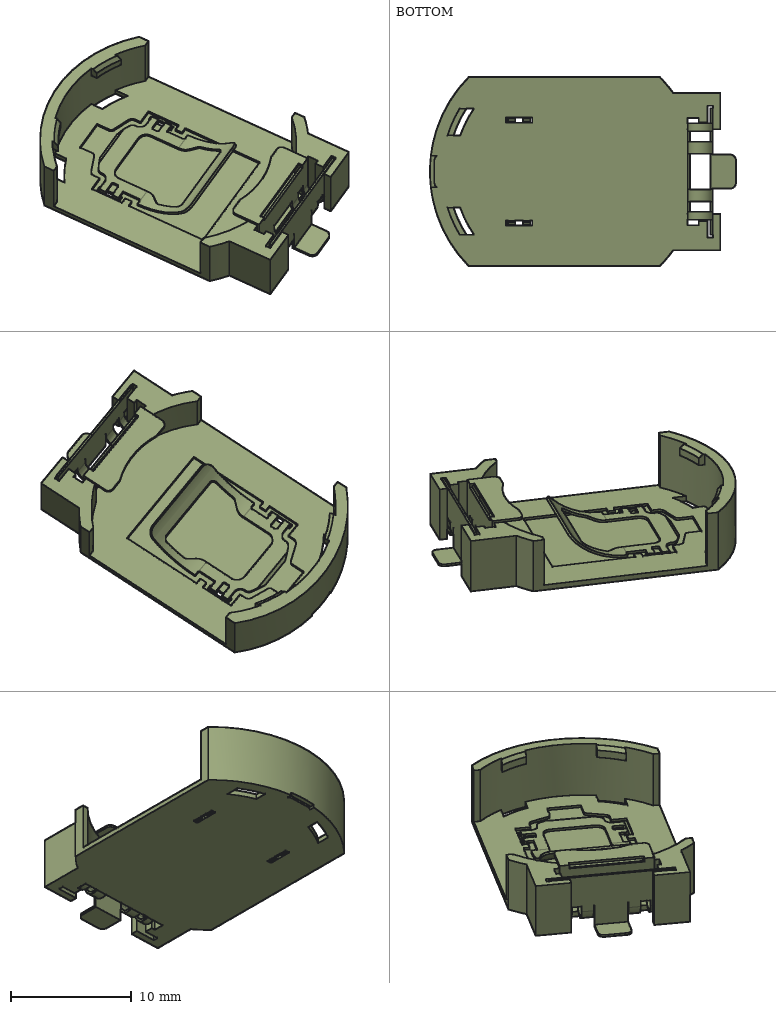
import cadquery as cq
import math


SHEET = 0.2
TOTAL_LENGTH = 25.4

HALF_WIDTH = 7.85
CELL_X = 11.15
OUTER_RADIUS = CELL_X
INNER_RADIUS = 10.13
FLOOR_TOP = 0.48
RIM_TOP = 5.3
BLOCK_TOP = 4.67
WALL_TIP_Y = 7.32
BLOCK_HALF_WIDTH = 6.53
BLOCK_END_X = 24.1

MOUTH_HALF_WIDTH = 3.5
LEG_BAY_X = 21.39
LEG_BAY_LENGTH = 0.91
LEG_BAY_HALF_WIDTH = 4.45
LOOP_BAY_HALF_WIDTH = 4.1
PLATE_SLOT_START_X = 23.05
PLATE_SLOT_END_X = 23.47
PLATE_SLOT_HALF_WIDTH = 5.45

HOOK_Y = (3.0, 5.23)
HOOK_TOP_RADIUS = 9.98
HOOK_LIP_RADIUS = 9.65
HOOK_LIP_TOP = 4.98
HOOK_BOTTOM = 4.32
WINDOW_RADIUS = 9.15

TERMINAL_HALF_WIDTH = 1.42
TERMINAL_CORNER = 0.5
SPRING_TERMINAL_X = 0.38
TERMINAL_GROOVE_HALF_WIDTH = 1.3
TERMINAL_GROOVE_TOP = 0.25

RECESS_FLOOR = FLOOR_TOP - SHEET
RECESS_HALF_WIDTH = 4.7
RECESS_END_X = 16.6
SHOULDER_Y = 3.4
SHOULDER_X = 5.95
TAPER_X = (4.32, 5.08)
KEY_X = (8.85, 9.47)
KEY_Y = 4.17
LEG_HOLE_X = (6.32, 8.48)
LEG_HOLE_Y = (4.06, 4.47)

SPRING_FOOT_X = 4.83
SPRING_FRONT_X = 5.1
SPRING_FRONT_Y = 2.05
SPRING_NECK_X = 5.49
SPRING_NECK_Y = 2.85
SPRING_LEGS_X = (6.48, 8.33)
SPRING_LEG_END_Y = 4.4
LEG_GAP_X = (7.09, 7.72)
LEG_GAP_Y = 3.25
SPRING_SIDE_Y = 3.63
BEND_X = 10.0
CURL_HALF_WIDTH = 4.17
CURL_RADIUS = 6.3
CURL_ANGLE = 51.5
CURL_CORNER = 0.81
CUTOUT_X = (6.63, 13.75)
CUTOUT_FLARE_X = (10.55, 11.53)
CUTOUT_Y = (2.62, 3.48)

CLIP_LEG_X = LEG_BAY_X
PLATE_X = PLATE_SLOT_END_X - SHEET
PLATE_HALF_WIDTH = 5.25
PLATE_TOP = 4.8
STRAP_TOP = 2.0
LOOP_BOTTOM = 0.5
STRAPS_Y = ((1.47, 2.5), (3.33, 4.01))
FLAP_X = 18.9
FLAP_HALF_WIDTH = STRAPS_Y[1][1]
FLAP_TOP = 5.0
FLAP_CORNER = 0.45
FLAP_SCOOP_X = 19.4
FLAP_SCOOP_HALF_WIDTH = 2.6
RELIEF_X = 21.2
RELIEF_HALF_WIDTH = 3.18


def box(x, y, z):
    """Box spanning the (low, high) pairs x, y and z."""
    return (cq.Workplane("XY")
            .box(x[1] - x[0], y[1] - y[0], z[1] - z[0], centered=False)
            .translate((x[0], y[0], z[0])))


def prism(points, z):
    """Polygon in XY extruded between the two heights z."""
    return cq.Workplane("XY").workplane(offset=z[0]).polyline(points).close().extrude(z[1] - z[0])


def round_upright(body, corner, radius):
    """Round the upright edge of body nearest to the plan position corner."""
    height = body.val().Center().z
    return body.edges("|Z").edges(cq.selectors.NearestToPointSelector((*corner, height))).fillet(radius)


def cell_disc(radius, z):
    """Disc about the cell axis between the two heights z."""
    return cq.Workplane("XY").workplane(offset=z[0]).center(CELL_X, 0).circle(radius).extrude(z[1] - z[0])


def half_chord(radius, y):
    """Distance along X from the cell axis to a circle at the given Y."""
    return math.sqrt(radius ** 2 - y ** 2)


def mirrored(half):
    """Join a +Y half with its mirror image."""
    return half.union(half.mirror("XZ")).clean()


def terminal(tip_x, root_x):
    """Half of a flat solder terminal with a rounded corner at its tip."""
    low, high = min(tip_x, root_x), max(tip_x, root_x)
    tab = box((low, high), (0, TERMINAL_HALF_WIDTH), (0, SHEET))
    return round_upright(tab, (tip_x, TERMINAL_HALF_WIDTH), TERMINAL_CORNER)


def terminal_groove():
    """Groove under the round wall that bares the rounded tip of the spring terminal."""
    groove_x = (0, SPRING_TERMINAL_X + TERMINAL_CORNER)
    groove = box(groove_x, (0, TERMINAL_GROOVE_HALF_WIDTH), (0, TERMINAL_GROOVE_TOP))
    return groove.cut(terminal(SPRING_TERMINAL_X, TONGUE_X))


TONGUE_X = 2.92


def housing_shell():
    """Floor, round wall on the left and clip block on the right."""
    rim = (0, RIM_TOP)
    strip = box((0, TOTAL_LENGTH), (0, HALF_WIDTH), rim)
    block = box((CELL_X, BLOCK_END_X), (0, BLOCK_HALF_WIDTH), rim)
    shell = cell_disc(OUTER_RADIUS, rim).intersect(strip).union(block)

    above_floor = (FLOOR_TOP, RIM_TOP)
    tip_reach = half_chord(INNER_RADIUS, WALL_TIP_Y)
    cell_space = cell_disc(INNER_RADIUS, above_floor)
    side_opening = box((CELL_X - tip_reach, CELL_X + tip_reach), (0, HALF_WIDTH), above_floor)
    above_block = box((CELL_X, TOTAL_LENGTH), (0, HALF_WIDTH), (BLOCK_TOP, RIM_TOP))
    return shell.cut(cell_space).cut(side_opening).cut(above_block)


def clip_opening():
    """Space in the block for the clip, open at the top and bottom."""
    full = (0, RIM_TOP)
    bay_end = LEG_BAY_X + LEG_BAY_LENGTH
    mouth = box((CELL_X, LEG_BAY_X), (0, MOUTH_HALF_WIDTH), (FLOOR_TOP, RIM_TOP))
    leg_bay = box((LEG_BAY_X, bay_end), (0, LEG_BAY_HALF_WIDTH), full)
    loop_bay = box((bay_end, PLATE_SLOT_START_X), (0, LOOP_BAY_HALF_WIDTH), full)
    slot = box((PLATE_SLOT_START_X, PLATE_SLOT_END_X), (0, PLATE_SLOT_HALF_WIDTH), full)
    back = box((PLATE_SLOT_END_X, BLOCK_END_X), (0, MOUTH_HALF_WIDTH), full)
    return mouth.union(leg_bay).union(loop_bay).union(slot).union(back)


def snap_hook():
    """Hook on the round wall with a sloping lead-in above its lip."""
    section = [
        (OUTER_RADIUS - 0.25, RIM_TOP),
        (HOOK_TOP_RADIUS, RIM_TOP),
        (HOOK_LIP_RADIUS, HOOK_LIP_TOP),
        (HOOK_LIP_RADIUS, HOOK_BOTTOM),
        (OUTER_RADIUS - 0.25, HOOK_BOTTOM),
    ]
    ring = cq.Workplane("XZ").polyline(section).close().revolve(360, (0, 0), (0, 1)).translate((CELL_X, 0, 0))
    return ring.intersect(box((0, CELL_X), HOOK_Y, (0, RIM_TOP)))


def floor_window():
    """Through window in the floor below a snap hook."""
    through = (0, FLOOR_TOP)
    ring = cell_disc(INNER_RADIUS, through).cut(cell_disc(WINDOW_RADIUS, through))
    return ring.intersect(box((0, CELL_X), HOOK_Y, through))


def spring_recess():
    """Recess in the floor around the spring, with through holes for the spring legs."""
    taper_low = (TAPER_X[0], TERMINAL_HALF_WIDTH)
    taper_high = (TAPER_X[1], SHOULDER_Y)
    outline = [
        (TONGUE_X, 0),
        (TONGUE_X, TERMINAL_HALF_WIDTH),
        taper_low,
        taper_high,
        (SHOULDER_X, SHOULDER_Y),
        (SHOULDER_X, RECESS_HALF_WIDTH),
        (RECESS_END_X, RECESS_HALF_WIDTH),
        (RECESS_END_X, 0),
    ]
    recess = prism(outline, (RECESS_FLOOR, FLOOR_TOP))
    recess = round_upright(recess, taper_low, 0.3)
    recess = round_upright(recess, taper_high, 0.48)
    key = box(KEY_X, (KEY_Y, RECESS_HALF_WIDTH), (RECESS_FLOOR, FLOOR_TOP))
    leg_hole = box(LEG_HOLE_X, LEG_HOLE_Y, (0, FLOOR_TOP))
    return recess.cut(key).union(leg_hole)


def spring_plan():
    """Plan shape of the spring as a tall prism."""
    neck = (SPRING_NECK_X, SPRING_NECK_Y)
    leg_root = (SPRING_LEGS_X[0], SPRING_NECK_Y)
    curl_root = (BEND_X, SPRING_SIDE_Y)
    outline = [
        (SPRING_FOOT_X, 0),
        (SPRING_FOOT_X, TERMINAL_HALF_WIDTH),
        (SPRING_FRONT_X, SPRING_FRONT_Y),
        neck,
        leg_root,
        (SPRING_LEGS_X[0], SPRING_LEG_END_Y),
        (SPRING_LEGS_X[1], SPRING_LEG_END_Y),
        (SPRING_LEGS_X[1], SPRING_SIDE_Y),
        curl_root,
        (BEND_X, CURL_HALF_WIDTH),
        (RECESS_END_X, CURL_HALF_WIDTH),
        (RECESS_END_X, 0),
    ]
    plan = prism(outline, (0, RIM_TOP))
    plan = round_upright(plan, neck, 0.48)
    plan = round_upright(plan, leg_root, 0.6)
    plan = round_upright(plan, curl_root, 0.15)

    gap = box(LEG_GAP_X, (LEG_GAP_Y, SPRING_LEG_END_Y), (0, RIM_TOP))
    for x in LEG_GAP_X:
        gap = round_upright(gap, (x, LEG_GAP_Y), 0.15)
    return plan.cut(gap).cut(spring_cutout())


def spring_cutout():
    """Opening inside the spring, flaring where the curl begins."""
    front_corner = (CUTOUT_X[0], CUTOUT_Y[0])
    flare_start = (CUTOUT_FLARE_X[0], CUTOUT_Y[0])
    flare_end = (CUTOUT_FLARE_X[1], CUTOUT_Y[1])
    back_corner = (CUTOUT_X[1], CUTOUT_Y[1])
    outline = [(CUTOUT_X[0], 0), front_corner, flare_start, flare_end, back_corner, (CUTOUT_X[1], 0)]
    cutout = prism(outline, (0, RIM_TOP))
    cutout = round_upright(cutout, front_corner, 0.75)
    cutout = round_upright(cutout, flare_start, 1.15)
    cutout = round_upright(cutout, flare_end, 0.25)
    return round_upright(cutout, back_corner, 0.4)


def spring_sheet():
    """Flat strip with a bevelled front edge that curls upward at the far end."""
    bottom, top = RECESS_FLOOR, RECESS_FLOOR + SHEET
    centre_z = bottom + CURL_RADIUS

    def on_curl(radius, degrees):
        angle = math.radians(degrees)
        return (BEND_X + radius * math.sin(angle), centre_z - radius * math.cos(angle))

    upper_radius = CURL_RADIUS - SHEET
    return (cq.Workplane("XZ")
            .moveTo(SPRING_FOOT_X, bottom)
            .lineTo(BEND_X, bottom)
            .threePointArc(on_curl(CURL_RADIUS, CURL_ANGLE / 2), on_curl(CURL_RADIUS, CURL_ANGLE))
            .lineTo(*on_curl(upper_radius, CURL_ANGLE))
            .threePointArc(on_curl(upper_radius, CURL_ANGLE / 2), (BEND_X, top))
            .lineTo(SPRING_FRONT_X, top)
            .close()
            .extrude(-RECESS_HALF_WIDTH))


def spring():
    """Half of the spring with its two legs bent down into the floor."""
    body = spring_sheet().intersect(spring_plan())
    tip_corner = (TOTAL_LENGTH, CURL_HALF_WIDTH, RIM_TOP)
    body = body.edges(cq.selectors.NearestToPointSelector(tip_corner)).fillet(CURL_CORNER)
    leg_y = (SPRING_LEG_END_Y - SHEET, SPRING_LEG_END_Y)
    for leg_x in ((SPRING_LEGS_X[0], LEG_GAP_X[0]), (LEG_GAP_X[1], SPRING_LEGS_X[1])):
        body = body.union(box(leg_x, leg_y, (0, RECESS_FLOOR + SHEET)))
    return body


def make_housing():
    half = housing_shell().cut(clip_opening()).union(snap_hook()).cut(floor_window())
    half = half.cut(spring_recess()).union(spring()).cut(terminal_groove())
    return mirrored(half)


def clip_flap():
    """Top flap with a scooped front edge."""
    flap_z = (FLAP_TOP - SHEET, FLAP_TOP)
    flap = box((FLAP_X, CLIP_LEG_X + SHEET), (0, FLAP_HALF_WIDTH), flap_z)
    flap = round_upright(flap, (FLAP_X, FLAP_HALF_WIDTH), FLAP_CORNER)
    scoop = (cq.Workplane("XY")
             .workplane(offset=flap_z[0])
             .moveTo(FLAP_X, -FLAP_SCOOP_HALF_WIDTH)
             .threePointArc((FLAP_SCOOP_X, 0), (FLAP_X, FLAP_SCOOP_HALF_WIDTH))
             .close()
             .extrude(SHEET))
    return flap.cut(scoop)


def bend_relief():
    """Clearance that leaves the flap joined to the leg only at its two ends."""
    return box((RELIEF_X, CLIP_LEG_X + SHEET), (0, RELIEF_HALF_WIDTH), (BLOCK_TOP, FLAP_TOP))


def clip_strap(y):
    """U-shaped strap across y, from the inner leg down and up to the outer plate."""
    outer_radius = (PLATE_SLOT_END_X - CLIP_LEG_X) / 2
    centre_x = CLIP_LEG_X + outer_radius
    centre_z = LOOP_BOTTOM + outer_radius
    inner_radius = outer_radius - SHEET
    return (cq.Workplane("XZ", origin=(0, y[0], 0))
            .moveTo(CLIP_LEG_X, STRAP_TOP)
            .lineTo(CLIP_LEG_X, centre_z)
            .threePointArc((centre_x, LOOP_BOTTOM), (PLATE_SLOT_END_X, centre_z))
            .lineTo(PLATE_SLOT_END_X, STRAP_TOP)
            .lineTo(PLATE_X, STRAP_TOP)
            .lineTo(PLATE_X, centre_z)
            .threePointArc((centre_x, LOOP_BOTTOM + SHEET), (centre_x - inner_radius, centre_z))
            .lineTo(centre_x - inner_radius, STRAP_TOP)
            .close()
            .extrude(y[0] - y[1]))


def make_clip():
    leg = box((CLIP_LEG_X, CLIP_LEG_X + SHEET), (0, FLAP_HALF_WIDTH), (STRAP_TOP, FLAP_TOP - SHEET))
    plate_x = (PLATE_X, PLATE_SLOT_END_X)
    plate = box(plate_x, (0, PLATE_HALF_WIDTH), (STRAP_TOP, PLATE_TOP))
    stem = box(plate_x, (0, TERMINAL_HALF_WIDTH), (0, STRAP_TOP))
    half = leg.union(clip_flap()).cut(bend_relief()).union(plate)
    half = half.union(stem).union(terminal(TOTAL_LENGTH, PLATE_X))
    for strap_y in STRAPS_Y:
        half = half.union(clip_strap(strap_y))
    return mirrored(half)


housing = make_housing()
clip = make_clip()
result = cq.Compound.makeCompound([housing.val(), clip.val()])